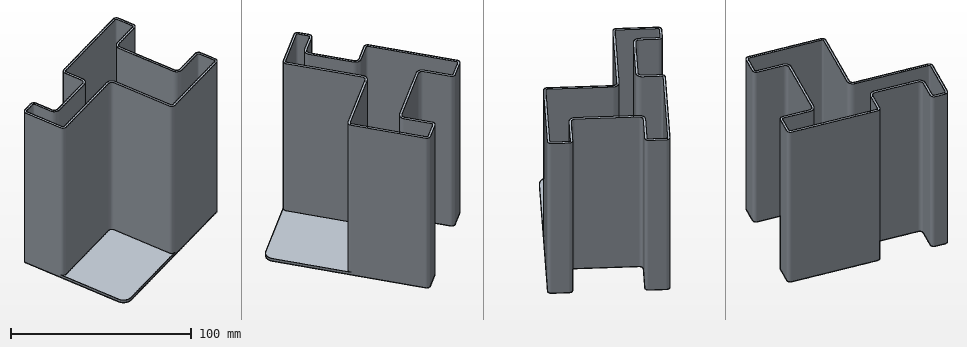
import cadquery as cq

width = 68.0
depth = 95.0
height = 110.0

wall = 1.3
floor_thickness = 2.0
bend_radius = 2.2
plate_corner_radius = 5.1

prong_width = 14.1
rear_notch_depth = 20.0

side_notch_depth = 15.0
side_notch_front = 10.2
side_notch_back = 40.0

leg_width = 27.2
step_depth = 47.8

tube_outline = [
    (0, 0),
    (leg_width, 0),
    (leg_width, step_depth),
    (width, step_depth),
    (width, depth),
    (width - prong_width, depth),
    (width - prong_width, depth - rear_notch_depth),
    (prong_width, depth - rear_notch_depth),
    (prong_width, depth),
    (0, depth),
    (0, side_notch_back),
    (side_notch_depth, side_notch_back),
    (side_notch_depth, side_notch_front),
    (0, side_notch_front),
]


def make_tube():
    """Thin-walled upright tube, open at the top and closed by a floor."""
    body = cq.Workplane("XY").polyline(tube_outline).close().extrude(height)
    body = body.edges("|Z").fillet(bend_radius)
    inner_profile = body.faces("<Z").wires().toPending().offset2D(-wall)
    cavity = inner_profile.extrude(height, combine=False)
    return body.cut(cavity.translate((0, 0, floor_thickness)))


def make_base_plate():
    """Flat plate that fills the front right step, with one rounded corner."""
    plate_left = leg_width - bend_radius
    plate_back = step_depth + bend_radius
    plate = cq.Workplane("XY").box(
        width - plate_left, plate_back, floor_thickness, centered=False
    )
    plate = plate.translate((plate_left, 0, 0))
    return plate.edges("|Z and >X and <Y").fillet(plate_corner_radius)


result = make_tube().union(make_base_plate())